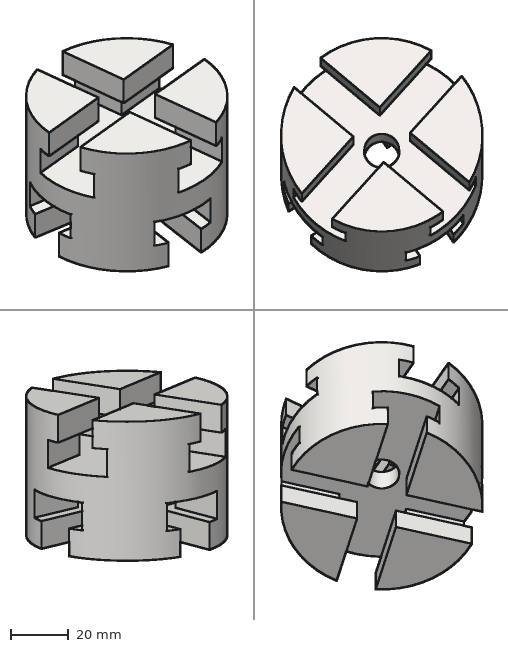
import cadquery as cq

diameter = 70.0
height = 50.0
neck_width = 14.0
head_width = 24.0
bore_diameter = 12.2
top_slot_angle = 15.0

layer = height / 5
slot_length = 1.2 * diameter


def cross(width, bottom):
    """Two crossing bars, one layer thick, along X and Y."""
    bar = cq.Workplane("XY").workplane(offset=bottom).rect(slot_length, width).extrude(layer)
    return bar.union(bar.rotate((0, 0, 0), (0, 0, 1), 90))


bottom_slots = cross(neck_width, 0).union(cross(head_width, layer))

top_slots = cross(head_width, 3 * layer).union(cross(neck_width, 4 * layer))
top_slots = top_slots.rotate((0, 0, 0), (0, 0, 1), top_slot_angle)

body = cq.Workplane("XY").circle(diameter / 2).circle(bore_diameter / 2).extrude(height)
result = body.cut(bottom_slots).cut(top_slots)